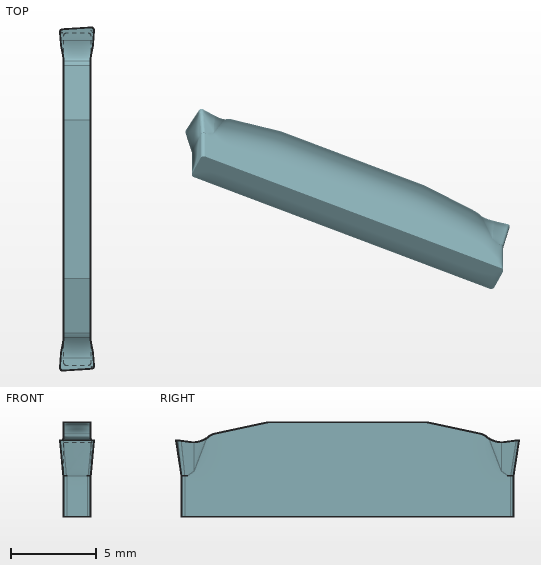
import cadquery as cq
import math

body_width = 1.6
body_half_length = 9.71
body_height = 5.54
end_corner_radius = 0.2

flat_half_length = 4.64
ramp_end_y, ramp_end_z = 7.83, 4.85
crest_end_y, crest_end_z = 8.07, 4.74
crest_bulge = 0.01
rake_start_y, rake_start_z = 9.27, 4.4
valley_y, valley_z = 8.75, 4.4
tip_trim = 0.012
tip_y = 10.04 + tip_trim
tip_z = 4.5

width_trim = 0.028
head_width = 2.0 + width_trim
head_base_z = 2.4
head_root_y = 7.83
kink_y = 8.97
lead_angle = 3.6
head_corner_radius = 0.18
head_blank_top = 5.02
side_relief = 0.093
end_relief = (tip_y - body_half_length) / (tip_z - head_base_z)
back_taper = 0.06
root_taper = 0.22


def blade_profile():
    """Solid under the upper edge, wide and long enough to contain both heads."""
    crest_mid = (
        (ramp_end_y + crest_end_y) / 2,
        (ramp_end_z + crest_end_z) / 2 + crest_bulge,
    )
    return (
        cq.Workplane("YZ")
        .moveTo(-tip_y, 0)
        .lineTo(tip_y, 0)
        .lineTo(tip_y, tip_z)
        .lineTo(rake_start_y, rake_start_z)
        .threePointArc((valley_y, valley_z), (crest_end_y, crest_end_z))
        .threePointArc(crest_mid, (ramp_end_y, ramp_end_z))
        .lineTo(flat_half_length, body_height)
        .lineTo(-flat_half_length, body_height)
        .lineTo(-ramp_end_y, ramp_end_z)
        .threePointArc((-crest_mid[0], crest_mid[1]), (-crest_end_y, crest_end_z))
        .threePointArc((-valley_y, valley_z), (-rake_start_y, rake_start_z))
        .lineTo(-tip_y, tip_z)
        .close()
        .extrude(head_width, both=True)
    )


def head_section(z):
    """Plan outline of the +Y head at height z, with its two front corners rounded."""
    drop = tip_z - z
    front_half = head_width / 2 - side_relief * drop
    front_y = tip_y - end_relief * drop
    kink_half = front_half - back_taper * (front_y - kink_y)
    root_half = kink_half - root_taper * (kink_y - head_root_y)
    skew_share = (z - head_base_z) / (tip_z - head_base_z)
    lead_drop = skew_share * head_width * math.tan(math.radians(lead_angle))
    outline = cq.Wire.makePolygon(
        [
            cq.Vector(-root_half, head_root_y, z),
            cq.Vector(root_half, head_root_y, z),
            cq.Vector(kink_half, kink_y, z),
            cq.Vector(front_half, front_y, z),
            cq.Vector(-front_half, front_y - lead_drop, z),
            cq.Vector(-kink_half, kink_y, z),
        ],
        close=True,
    )
    front_corners = [v for v in outline.Vertices() if v.Y > (kink_y + front_y) / 2]
    return outline.fillet2D(head_corner_radius, front_corners)


def cutting_head():
    sections = [head_section(head_base_z), head_section(head_blank_top)]
    return cq.Workplane(cq.Solid.makeLoft(sections, True))


body = (
    cq.Workplane("XY")
    .rect(body_width, 2 * body_half_length)
    .extrude(body_height)
    .edges("|Z")
    .fillet(end_corner_radius)
)
head = cutting_head()
opposite_head = head.rotate((0, 0, 0), (0, 0, 1), 180)
result = body.union(head).union(opposite_head).intersect(blade_profile())